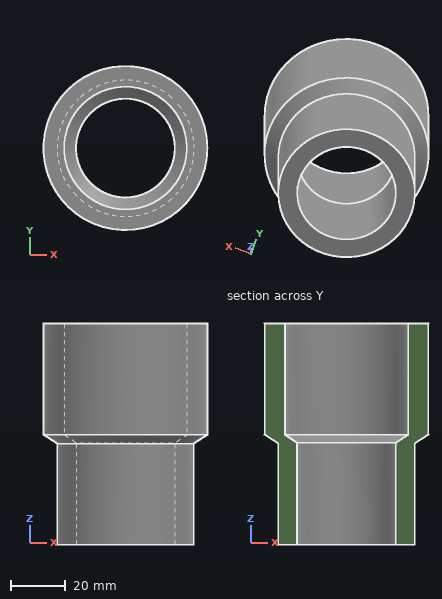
import cadquery as cq

total_height = 81.0
socket_diameter = 60.0
spigot_diameter = 50.0

socket_bore_diameter = 44.9
spigot_bore_diameter = 36.05

socket_height = 40.75
outer_taper_height = 3.2
bore_taper_height = 2.9
taper_top = total_height - socket_height


def stepped_solid(lower_diameter, upper_diameter, taper_height):
    """Revolve a narrow cylinder, a cone and a wide cylinder about the Z axis."""
    lower_radius = lower_diameter / 2
    upper_radius = upper_diameter / 2
    return (
        cq.Workplane("XZ")
        .moveTo(0, 0)
        .lineTo(lower_radius, 0)
        .lineTo(lower_radius, taper_top - taper_height)
        .lineTo(upper_radius, taper_top)
        .lineTo(upper_radius, total_height)
        .lineTo(0, total_height)
        .close()
        .revolve(360, (0, 0), (0, 1))
    )


body = stepped_solid(spigot_diameter, socket_diameter, outer_taper_height)
bore = stepped_solid(spigot_bore_diameter, socket_bore_diameter, bore_taper_height)
result = body.cut(bore)